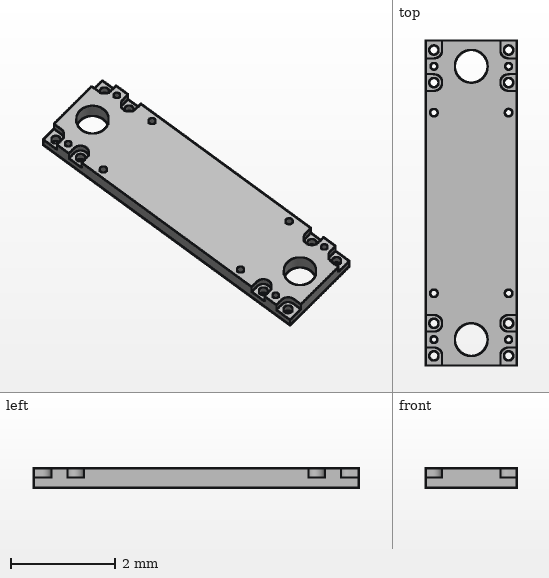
import cadquery as cq

WIDTH = 1.75
LENGTH = 6.25
THICKNESS = 0.38

BORE_DIAMETER = 0.625
BORE_END_DISTANCE = 0.5
BORE_Y = LENGTH / 2 - BORE_END_DISTANCE

HOLE_EDGE_DISTANCE = 0.1575
HOLE_X = WIDTH / 2 - HOLE_EDGE_DISTANCE

SCREW_DIAMETER = 0.175
SCREW_SPACING = 0.625
SEAT_RADIUS = 0.16
SEAT_DEPTH = 0.18
SEAT_FLOOR_Z = THICKNESS - SEAT_DEPTH
INNER_SCREW_Y = BORE_Y - SCREW_SPACING / 2
OUTER_SCREW_Y = BORE_Y + SCREW_SPACING / 2

DOWEL_DIAMETER = 0.125
PILOT_DIAMETER = 0.14
PILOT_Y = 1.735


def through_holes(diameter, x, y):
    """Cylinders through the plate at (x, y) and its mirror images; x = 0 gives one per end."""
    sides = (1, -1) if x else (1,)
    points = [(side * x, end * y) for side in sides for end in (1, -1)]
    return cq.Workplane("XY").pushPoints(points).circle(diameter / 2).extrude(THICKNESS)


def block(x_min, x_max, y_min, y_max):
    """Rectangular cutter from the seat floor up to the top face."""
    return (
        cq.Workplane("XY")
        .box(x_max - x_min, y_max - y_min, SEAT_DEPTH, centered=False)
        .translate((x_min, y_min, SEAT_FLOOR_Z))
    )


def round_end(y):
    """Round inner end of a seat, concentric with the screw hole at y."""
    return (
        cq.Workplane("XY")
        .workplane(offset=SEAT_FLOOR_Z)
        .center(HOLE_X, y)
        .circle(SEAT_RADIUS)
        .extrude(SEAT_DEPTH)
    )


def side_seat():
    """Round-ended slot that opens through the long edge."""
    slot = block(HOLE_X, WIDTH / 2, INNER_SCREW_Y - SEAT_RADIUS, INNER_SCREW_Y + SEAT_RADIUS)
    return slot.union(round_end(INNER_SCREW_Y))


def corner_seat():
    """Corner notch open through both edges, with one rounded inner corner."""
    long_edge_part = block(HOLE_X, WIDTH / 2, OUTER_SCREW_Y - SEAT_RADIUS, LENGTH / 2)
    end_part = block(HOLE_X - SEAT_RADIUS, HOLE_X, OUTER_SCREW_Y, LENGTH / 2)
    return long_edge_part.union(end_part).union(round_end(OUTER_SCREW_Y))


def cut_at_four_corners(body, cutter):
    """Cut the +X +Y cutter and its mirror images in the YZ and XZ planes."""
    for half in (cutter, cutter.mirror("YZ")):
        body = body.cut(half).cut(half.mirror("XZ"))
    return body


plate = cq.Workplane("XY").box(WIDTH, LENGTH, THICKNESS, centered=(True, True, False))

for seat in (side_seat(), corner_seat()):
    plate = cut_at_four_corners(plate, seat)

plate = plate.cut(through_holes(BORE_DIAMETER, 0, BORE_Y))
for screw_y in (INNER_SCREW_Y, OUTER_SCREW_Y):
    plate = plate.cut(through_holes(SCREW_DIAMETER, HOLE_X, screw_y))
plate = plate.cut(through_holes(DOWEL_DIAMETER, HOLE_X, BORE_Y))
plate = plate.cut(through_holes(PILOT_DIAMETER, HOLE_X, PILOT_Y))

result = plate